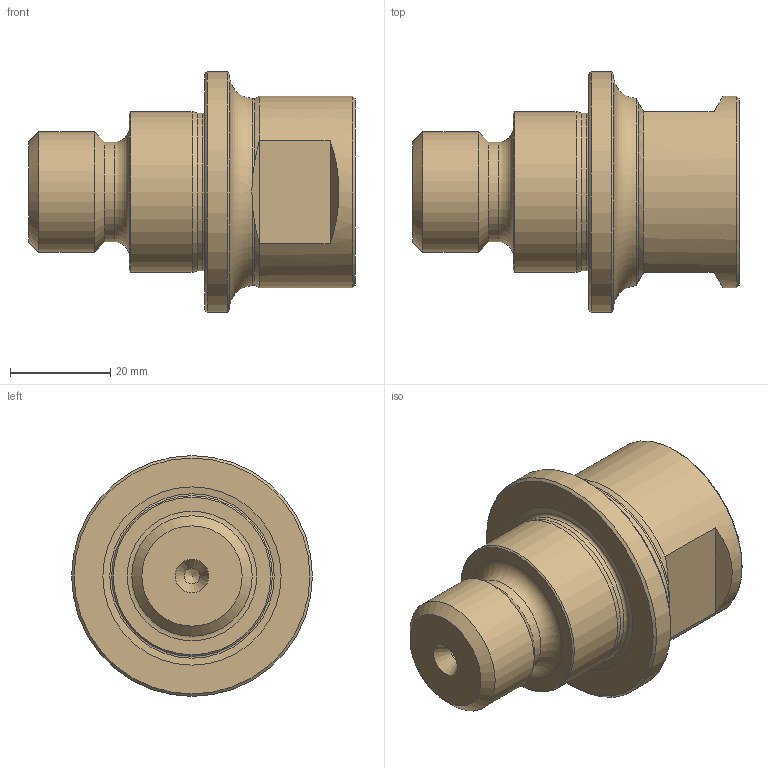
import cadquery as cq
import math

stud_length = 13.0
shoulder_x = 20.0
flange_front = 35.0
flange_back = 40.0
hub_end = 65.0

stud_radius = 12.0
neck_radius = 9.9
spigot_radius = 16.0
flange_radius = 24.0
hub_radius = 19.05

stud_chamfer = 2.0
spigot_chamfer = 0.3
edge_chamfer = 0.5
neck_fillet = 3.0

undercut_length = 2.5
undercut_depth = 0.3
undercut_face_depth = 0.2
undercut_corner_radius = 0.6
undercut_entry_angle = math.radians(15)
undercut_face_angle = math.radians(8)

relief_radius = 4.5
relief_depth = 0.35
relief_flat = 0.4
relief_exit_length = 1.0

flat_distance = 16.0
flat_start = 46.0
flat_end = 60.0
flat_flank_angle = math.radians(30)

centre_pilot_radius = 3.15 / 2
centre_mouth_radius = 6.7 / 2
centre_depth = 7.0
centre_half_angle = math.radians(30)
pilot_tip_half_angle = math.radians(60)


def arc_point(centre_x, centre_r, radius, angle_degrees):
    """Point on a profile arc at the given angle from +X."""
    angle = math.radians(angle_degrees)
    return centre_x + radius * math.cos(angle), centre_r + radius * math.sin(angle)


def make_turned_body():
    """Revolve the half profile (X, radius) about the X axis."""
    neck_centre_x = shoulder_x - neck_fillet
    neck_centre_r = neck_radius + neck_fillet

    floor_radius = spigot_radius - undercut_depth
    entry_start = flange_front - undercut_length
    entry_end = entry_start + undercut_depth / math.tan(undercut_entry_angle)
    corner_centre_r = floor_radius + undercut_corner_radius
    corner_centre_x = flange_front + undercut_face_depth - undercut_corner_radius
    face_angle_degrees = math.degrees(undercut_face_angle)
    corner_middle = arc_point(corner_centre_x, corner_centre_r, undercut_corner_radius,
                              (face_angle_degrees - 90) / 2)
    corner_end = arc_point(corner_centre_x, corner_centre_r, undercut_corner_radius, face_angle_degrees)
    face_rise = (corner_end[0] - flange_front) / math.tan(undercut_face_angle)

    relief_floor = hub_radius - relief_depth
    relief_centre_x = flange_back + relief_radius
    relief_centre_r = relief_floor + relief_radius
    relief_flat_end = relief_centre_x + relief_flat

    profile = (
        cq.Workplane("XY")
        .moveTo(0, 0)
        .lineTo(0, stud_radius - stud_chamfer)
        .lineTo(stud_chamfer, stud_radius)
        .lineTo(stud_length, stud_radius)
        .lineTo(stud_length + stud_radius - neck_radius, neck_radius)
        .lineTo(neck_centre_x, neck_radius)
        .threePointArc(arc_point(neck_centre_x, neck_centre_r, neck_fillet, -45),
                      (shoulder_x, neck_centre_r))
        .lineTo(shoulder_x, spigot_radius - spigot_chamfer)
        .lineTo(shoulder_x + spigot_chamfer, spigot_radius)
        .lineTo(entry_start, spigot_radius)
        .lineTo(entry_end, floor_radius)
        .lineTo(corner_centre_x, floor_radius)
        .threePointArc(corner_middle, corner_end)
        .lineTo(flange_front, corner_end[1] + face_rise)
        .lineTo(flange_front, flange_radius - edge_chamfer)
        .lineTo(flange_front + edge_chamfer, flange_radius)
        .lineTo(flange_back - edge_chamfer, flange_radius)
        .lineTo(flange_back, flange_radius - edge_chamfer)
        .lineTo(flange_back, relief_centre_r)
        .threePointArc(arc_point(relief_centre_x, relief_centre_r, relief_radius, -135),
                      (relief_centre_x, relief_floor))
        .lineTo(relief_flat_end, relief_floor)
        .lineTo(relief_flat_end + relief_exit_length, hub_radius)
        .lineTo(hub_end - edge_chamfer, hub_radius)
        .lineTo(hub_end, hub_radius - edge_chamfer)
        .lineTo(hub_end, 0)
        .close()
    )
    return profile.revolve(360, (0, 0, 0), (1, 0, 0))


def make_flat_cutter(side):
    """Trapezoidal prism that mills one wrench flat; side is -1 or +1 along Y."""
    cut_depth = hub_radius - flat_distance
    flank_run = cut_depth * math.tan(flat_flank_angle)
    return (
        cq.Workplane("XY")
        .moveTo(flat_start, side * flat_distance)
        .lineTo(flat_end, side * flat_distance)
        .lineTo(flat_end + flank_run, side * hub_radius)
        .lineTo(flat_start - flank_run, side * hub_radius)
        .close()
        .extrude(hub_radius, both=True)
    )


def make_centre_hole():
    """Centre-drilled hole: conical mouth, cylindrical pilot and conical tip."""
    cone_depth = (centre_mouth_radius - centre_pilot_radius) / math.tan(centre_half_angle)
    tip_length = centre_pilot_radius / math.tan(pilot_tip_half_angle)
    return (
        cq.Workplane("XY")
        .moveTo(0, 0)
        .lineTo(0, centre_mouth_radius)
        .lineTo(cone_depth, centre_pilot_radius)
        .lineTo(centre_depth - tip_length, centre_pilot_radius)
        .lineTo(centre_depth, 0)
        .close()
        .revolve(360, (0, 0, 0), (1, 0, 0))
    )


result = make_turned_body().cut(make_centre_hole())
for flat_side in (-1, 1):
    result = result.cut(make_flat_cutter(flat_side))